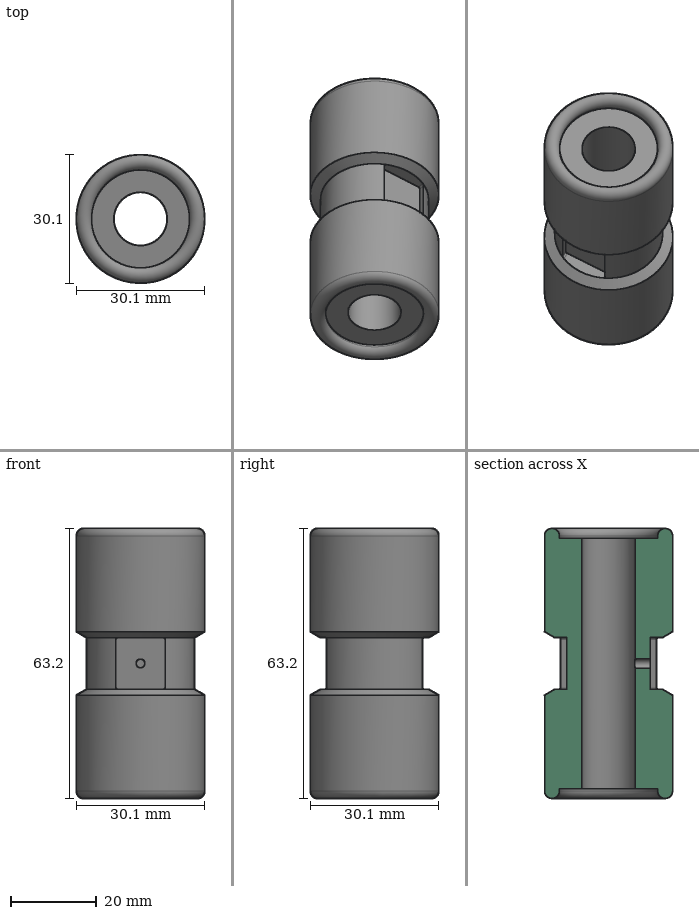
import cadquery as cq

length = 63.2
outer_diameter = 30.1
bore_diameter = 12.4

rim_inner_diameter = 22.9
recess_wall_height = 0.5

neck_diameter = 25.3
neck_length = 12.0
cone_height = 1.4

pocket_width = 11.5
pocket_height = neck_length
pocket_floor_distance = 9.8
pocket_corner_radius = 0.4

port_diameter = 2.0

outer_radius = outer_diameter / 2
bore_radius = bore_diameter / 2
neck_radius = neck_diameter / 2
rim_inner_radius = rim_inner_diameter / 2
rim_radius = (outer_radius - rim_inner_radius) / 2
rim_middle_radius = rim_inner_radius + rim_radius
half_length = length / 2
half_neck = neck_length / 2
rim_base = half_length - rim_radius
recess_floor = rim_base - recess_wall_height


def make_half_body():
    """Upper half of the turned body: neck, cone, collar, rim and bore."""
    return (
        cq.Workplane("XZ")
        .moveTo(bore_radius, 0)
        .lineTo(neck_radius, 0)
        .lineTo(neck_radius, half_neck)
        .lineTo(outer_radius, half_neck + cone_height)
        .lineTo(outer_radius, rim_base)
        .threePointArc((rim_middle_radius, half_length), (rim_inner_radius, rim_base))
        .lineTo(rim_inner_radius, recess_floor)
        .lineTo(bore_radius, recess_floor)
        .close()
        .revolve(360, (0, 0, 0), (0, 1, 0))
    )


def make_pocket(side):
    """Flat-floored pocket cutter on the -Y (side = -1) or +Y (side = 1) side."""
    depth = neck_radius - pocket_floor_distance
    middle = side * (pocket_floor_distance + depth / 2)
    return (
        cq.Workplane("XY")
        .box(pocket_width, depth, pocket_height)
        .edges("|Y")
        .fillet(pocket_corner_radius)
        .translate((0, middle, 0))
    )


def make_port():
    """Round cutter running from the axis out through the -Y side."""
    return cq.Workplane("XZ").circle(port_diameter / 2).extrude(neck_radius)


upper_half = make_half_body()
result = upper_half.union(upper_half.mirror("XY"), clean=True)
for pocket_side in (-1, 1):
    result = result.cut(make_pocket(pocket_side))
result = result.cut(make_port())